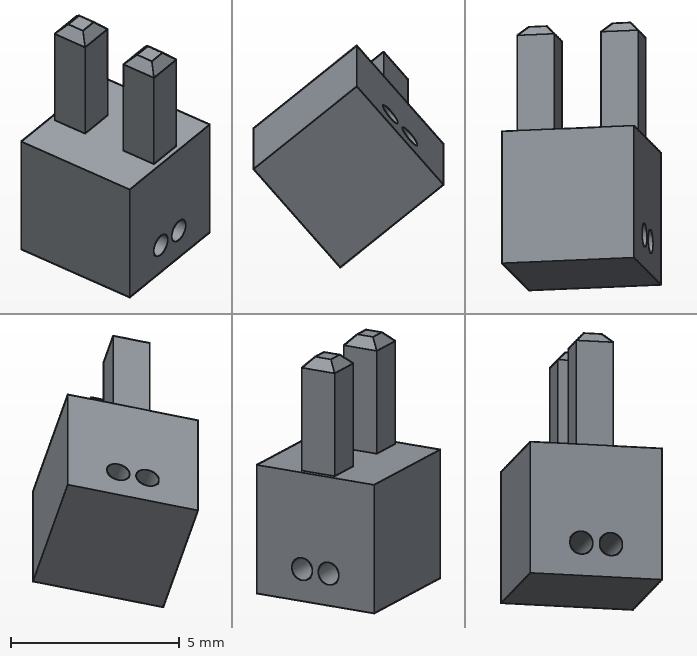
import cadquery as cq

total_height = 7.5
body_side = 4.0

pin_width = 1.125
pin_spacing = 2.535
tip_width = 0.54
tip_height = 0.31
pin_shank_height = total_height - body_side - tip_height

hole_diameter = 0.7
hole_spacing = 0.9
hole_height = body_side / 4


def make_pin(x):
    """Square pin with a tapered tip, centred at x on the top of the body."""
    shank = (
        cq.Workplane("XY", origin=(x, 0, body_side))
        .rect(pin_width, pin_width)
        .extrude(pin_shank_height)
    )
    tip = (
        shank.faces(">Z").workplane(centerOption="CenterOfMass")
        .rect(pin_width, pin_width)
        .workplane(offset=tip_height)
        .rect(tip_width, tip_width)
        .loft(combine=False)
    )
    return shank.union(tip)


def make_cross_hole(y):
    """Cylinder along X that spans the whole body."""
    return (
        cq.Workplane("YZ", origin=(-body_side / 2, y, hole_height))
        .circle(hole_diameter / 2)
        .extrude(body_side)
    )


result = cq.Workplane("XY").box(body_side, body_side, body_side, centered=(True, True, False))

for side in (-1, 1):
    result = result.union(make_pin(side * pin_spacing / 2))
    result = result.cut(make_cross_hole(side * hole_spacing / 2))